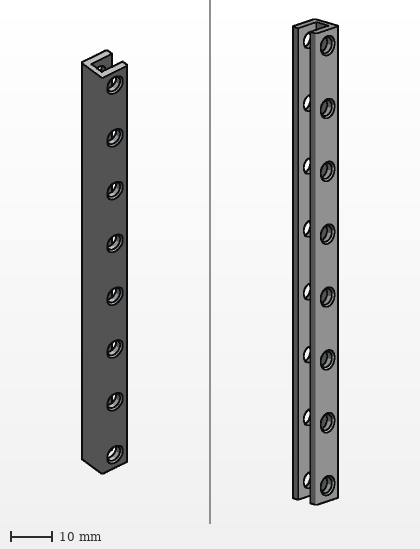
import cadquery as cq

length = 120.0
width = 8.0
slot_width = 4.0
floor_thickness = 1.5
corner_radius = 0.5

hole_count = 8
hole_diameter = 4.0
countersink_depth = 0.5
end_margin = width / 2
hole_pitch = (length - 2 * end_margin) / (hole_count - 1)


def make_channel():
    """Bar with rounded long edges and a full-length rectangular slot."""
    bar = cq.Workplane("XY").rect(width, width).extrude(length)
    bar = bar.edges("|Z").fillet(corner_radius)
    slot_depth = width - floor_thickness
    slot_center_y = width / 2 - slot_depth / 2
    slot = (
        cq.Workplane("XY")
        .center(0, slot_center_y)
        .rect(slot_width, slot_depth)
        .extrude(length)
    )
    return bar.cut(slot)


def make_hole_cutter(height):
    """Cross hole along X, flared at 45 degrees at both outer faces."""
    cylinder = (
        cq.Workplane("YZ", origin=(-width / 2, 0, height))
        .circle(hole_diameter / 2)
        .extrude(width)
    )
    mouth_radius = hole_diameter / 2 + countersink_depth
    flare = cq.Solid.makeCone(
        mouth_radius,
        hole_diameter / 2,
        countersink_depth,
        pnt=cq.Vector(-width / 2, 0, height),
        dir=cq.Vector(1, 0, 0),
    )
    opposite_flare = flare.mirror("YZ")
    return cylinder.union(cq.Workplane(flare)).union(cq.Workplane(opposite_flare))


result = make_channel()
for index in range(hole_count):
    result = result.cut(make_hole_cutter(end_margin + index * hole_pitch))